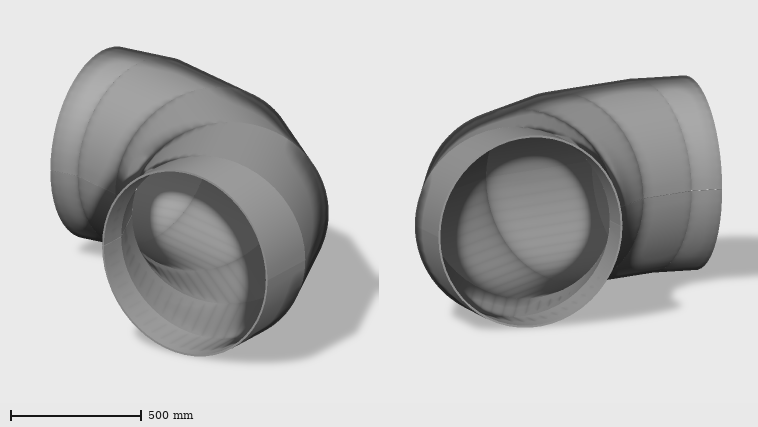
import cadquery as cq
import math

outer_diameter = 750.0
wall = 8.0
slit_width = 2.0
bend_radius = 1000.0
bend_angle = 90.0
middle_count = 3

inner_diameter = outer_diameter - 2 * wall
middle_angle = bend_angle / (middle_count + 1)
end_angle = middle_angle / 2

blank_length = 2 * bend_radius
sector_radius = 2 * (bend_radius + outer_diameter)


def direction(angle):
    """Unit vector in the XY plane at the given angle from +X."""
    return math.cos(math.radians(angle)), math.sin(math.radians(angle))


def sector(first_cut, last_cut):
    """Tall wedge about the bend axis between two cutting angles."""
    corners = [(0, 0)]
    for angle in (first_cut, last_cut):
        x, y = direction(angle)
        corners.append((sector_radius * x, sector_radius * y))
    return cq.Workplane("XY").polyline(corners).close().extrude(outer_diameter, both=True)


def slit_pipe(axis_angle):
    """Long slit pipe, tangent to the bend circle and centred on its point at axis_angle."""
    x, y = direction(axis_angle)
    half_length = blank_length / 2
    pipe_end = cq.Plane(
        origin=(bend_radius * x + half_length * y, bend_radius * y - half_length * x, 0),
        xDir=(x, y, 0),
        normal=(-y, x, 0),
    )
    pipe = (
        cq.Workplane(pipe_end)
        .circle(outer_diameter / 2)
        .circle(inner_diameter / 2)
        .extrude(blank_length)
    )
    slit = (
        cq.Workplane(pipe_end)
        .center(-outer_diameter / 2, 0)
        .rect(outer_diameter, slit_width)
        .extrude(blank_length)
    )
    return pipe.cut(slit)


def segment(axis_angle, first_cut, last_cut):
    """Slit pipe trimmed by the two radial planes that bound the segment."""
    return slit_pipe(axis_angle).intersect(sector(first_cut, last_cut)).solids()


first_end = segment(0, 0, end_angle)
last_end = segment(bend_angle, bend_angle - end_angle, bend_angle)

middle_segments = []
for index in range(middle_count):
    first_cut = end_angle + index * middle_angle
    last_cut = first_cut + middle_angle
    middle_segments.append(segment((first_cut + last_cut) / 2, first_cut, last_cut))

result = cq.Compound.makeCompound(
    [first_end.val(), *[middle.val() for middle in middle_segments], last_end.val()]
)